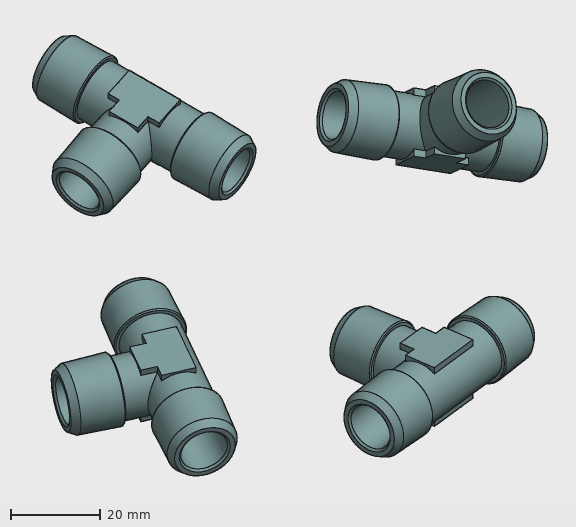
import cadquery as cq

run_length = 51.5
branch_length = 25.5
tube_diameter = 15.0
bore_diameter = 11.0
bore_mouth_diameter = 12.0
bore_mouth_depth = 0.5

collar_length = 12.55
nose_length = 1.95
nose_end_diameter = 14.3
collar_front_diameter = 16.6
collar_back_diameter = 17.15
back_chamfer = 0.3

flat_height = 8.0
flat_thickness = 1.7
flat_width = 14.1
flat_half_depth = 4.05
flat_stem_width = 8.0
flat_stem_reach = 8.0


def arm_body(length):
    """Solid arm from the origin along +X, with its tapered collar."""
    collar_start = length - collar_length
    tube_radius = tube_diameter / 2
    back_radius = collar_back_diameter / 2
    return (
        cq.Workplane("XY")
        .moveTo(0, 0)
        .lineTo(0, tube_radius)
        .lineTo(collar_start, tube_radius)
        .lineTo(collar_start, back_radius - back_chamfer)
        .lineTo(collar_start + back_chamfer, back_radius)
        .lineTo(length - nose_length, collar_front_diameter / 2)
        .lineTo(length, nose_end_diameter / 2)
        .lineTo(length, 0)
        .close()
        .revolve(360, (0, 0, 0), (1, 0, 0))
    )


def arm_bore(length):
    """Bore from the origin along +X, flared at the mouth."""
    bore_radius = bore_diameter / 2
    return (
        cq.Workplane("XY")
        .moveTo(0, 0)
        .lineTo(0, bore_radius)
        .lineTo(length - bore_mouth_depth, bore_radius)
        .lineTo(length, bore_mouth_diameter / 2)
        .lineTo(length, 0)
        .close()
        .revolve(360, (0, 0, 0), (1, 0, 0))
    )


def flat(bottom):
    """T-shaped plate whose lower face is at the given height."""
    half_width = flat_width / 2
    half_stem = flat_stem_width / 2
    return (
        cq.Workplane("XY", origin=(0, 0, bottom))
        .moveTo(-half_width, flat_half_depth)
        .lineTo(half_width, flat_half_depth)
        .lineTo(half_width, -flat_half_depth)
        .lineTo(half_stem, -flat_half_depth)
        .lineTo(half_stem, -flat_stem_reach)
        .lineTo(-half_stem, -flat_stem_reach)
        .lineTo(-half_stem, -flat_half_depth)
        .lineTo(-half_width, -flat_half_depth)
        .close()
        .extrude(flat_thickness)
    )


arms = [(run_length / 2, 0), (run_length / 2, 180), (branch_length, -90)]

body = flat(flat_height - flat_thickness).union(flat(-flat_height))
for length, angle in arms:
    body = body.union(arm_body(length).rotate((0, 0, 0), (0, 0, 1), angle))

for length, angle in arms:
    body = body.cut(arm_bore(length).rotate((0, 0, 0), (0, 0, 1), angle))

result = body